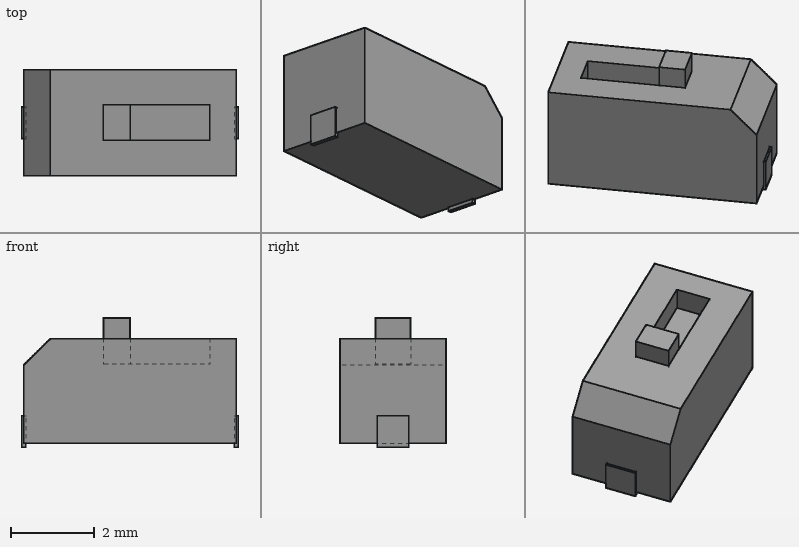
import cadquery as cq


overall_length = 5.18
overall_height = 3.1

terminal_thickness = 0.1
terminal_width = 0.76
terminal_height = 0.76
terminal_protrusion = terminal_thickness / 2

standoff = 0.1
housing_length = overall_length - 2 * terminal_protrusion
housing_width = 2.54
housing_height = 2.5
housing_top = standoff + housing_height
chamfer_run = housing_length / 8
chamfer_drop = housing_height / 4

slot_length = housing_length / 2
slot_width = housing_width / 3
slot_depth = 0.6
slot_center_x = housing_length / 8
slot_floor = housing_top - slot_depth
slider_length = slot_length / 4
slider_height = overall_height - slot_floor
slider_center_x = slot_center_x - (slot_length - slider_length) / 2


def block(length, width, height, center_x, bottom):
    """Box centred on Y, with its middle at center_x and its underside at bottom."""
    return (
        cq.Workplane("XY")
        .box(length, width, height, centered=(True, True, False))
        .translate((center_x, 0, bottom))
    )


def make_terminal(side):
    """Flat terminal at the -X (side = -1) or +X (side = 1) end."""
    center_x = side * (overall_length - terminal_thickness) / 2
    return block(terminal_thickness, terminal_width, terminal_height, center_x, 0)


def make_slider():
    """Slider standing on the slot floor, against the -X end of the slot."""
    return block(slider_length, slot_width, slider_height, slider_center_x, slot_floor)


def make_housing(terminals):
    """Housing with a sloped top edge at -X, a blind slot and terminal recesses."""
    half_length = housing_length / 2
    body = (
        cq.Workplane("XZ")
        .moveTo(-half_length, standoff)
        .lineTo(half_length, standoff)
        .lineTo(half_length, housing_top)
        .lineTo(-half_length + chamfer_run, housing_top)
        .lineTo(-half_length, housing_top - chamfer_drop)
        .close()
        .extrude(housing_width / 2, both=True)
    )
    slot = block(slot_length, slot_width, slot_depth, slot_center_x, slot_floor)
    body = body.cut(slot)
    for terminal in terminals:
        body = body.cut(terminal)
    return body


terminals = [make_terminal(side) for side in (-1, 1)]
slider = make_slider()
housing = make_housing(terminals)

result = cq.Compound.makeCompound(
    [housing.val(), slider.val(), *[terminal.val() for terminal in terminals]]
)